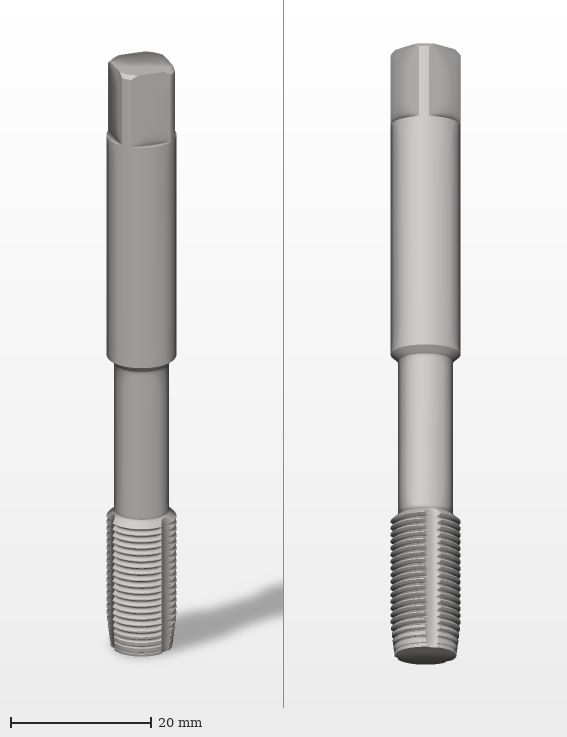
import cadquery as cq
import math

total_length = 90.0
thread_length = 20.0
collar_height = 1.0
shank_start = 43.9
shank_cone_height = 1.0
square_length = 11.0

shank_radius = 10.0 / 2
neck_radius = 7.8 / 2
square_width = 8.0
square_end_chamfer = 0.5

thread_count = 20
pitch = thread_length / thread_count
crest_flat = pitch / 8
root_flat = pitch / 8
flank_width = (pitch - crest_flat - root_flat) / 2
thread_depth = flank_width / math.tan(math.radians(30))
crest_radius = shank_radius
root_radius = crest_radius - thread_depth

taper_length = 4.5 * pitch
tip_radius = 8.8 / 2

flute_count = 3
first_flute_angle = -90
flute_radius = 1.4
flute_floor = 4.1
flute_center = flute_floor + flute_radius


def revolve_profile(points):
    """Revolve (radius, Z) points about the Z axis."""
    outline = [(-radius, z) for radius, z in points]
    return cq.Workplane("YZ").polyline(outline).close().revolve(360, (0, 0), (0, 1))


def cut_flutes(body):
    """Cut the lengthwise flutes through the thread and the collar above it."""
    top = thread_length + collar_height
    flutes = (
        cq.Workplane("XY")
        .polarArray(flute_center, first_flute_angle, 360, flute_count)
        .circle(flute_radius)
        .extrude(top)
    )
    return body.cut(flutes)


def make_thread():
    """Fluted thread with separate ring-shaped ridges and a tapered tip."""
    points = [(0, 0), (crest_radius, 0), (crest_radius, crest_flat / 2)]
    for groove in range(thread_count):
        groove_start = groove * pitch + crest_flat / 2
        root_start = groove_start + flank_width
        root_end = root_start + root_flat
        groove_end = root_end + flank_width
        points += [
            (root_radius, root_start),
            (root_radius, root_end),
            (crest_radius, groove_end),
            (crest_radius, groove_end + crest_flat),
        ]
    points[-1] = (crest_radius, thread_length)
    points.append((0, thread_length))

    envelope = revolve_profile([
        (0, 0),
        (tip_radius, 0),
        (crest_radius, taper_length),
        (crest_radius, thread_length),
        (0, thread_length),
    ])
    return cut_flutes(revolve_profile(points).intersect(envelope))


def make_shank():
    """Collar, neck and shank in one piece, ending in a square drive."""
    shank = revolve_profile([
        (0, thread_length),
        (crest_radius, thread_length),
        (neck_radius, thread_length + collar_height),
        (neck_radius, shank_start),
        (shank_radius, shank_start + shank_cone_height),
        (shank_radius, total_length - square_end_chamfer),
        (shank_radius - square_end_chamfer, total_length),
        (0, total_length),
    ])
    square_start = total_length - square_length
    outside_square = (
        cq.Workplane("XY", origin=(0, 0, square_start))
        .circle(2 * shank_radius)
        .rect(square_width, square_width)
        .extrude(square_length)
    )
    return cut_flutes(shank.cut(outside_square))


thread = make_thread()
shank = make_shank()

result = cq.Compound.makeCompound([thread.val(), shank.val()])